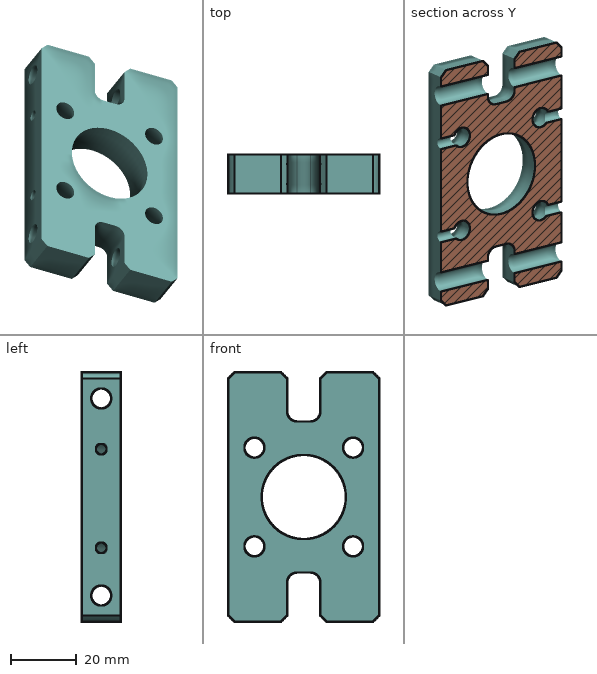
import cadquery as cq

width = 46.0
thickness = 12.0
height = 76.0
corner_chamfer = 2.0

slot_width = 10.0
slot_depth = 15.0
slot_fillet = 3.0

bore_diameter = 25.5
face_hole_diameter = 6.0
face_hole_pitch = 30.0

side_hole_diameter = 6.0
side_hole_pitch = 60.0
tap_hole_diameter = 3.3
tap_hole_drop = 0.45


def plate_blank():
    """Slotted plate with every outer corner and slot mouth chamfered."""
    plate = cq.Workplane("XY").box(width, thickness, height)
    slot_centers = [(0, height / 2), (0, -height / 2)]
    slots = (
        cq.Workplane("XZ")
        .pushPoints(slot_centers)
        .rect(slot_width, 2 * slot_depth)
        .extrude(thickness, both=True)
        .edges("|Y")
        .fillet(slot_fillet)
    )
    plate = plate.cut(slots)
    return plate.faces(">Z or <Z").edges("|Y").chamfer(corner_chamfer)


def face_holes():
    """Central bore and the square pattern of holes around it."""
    back = (0, thickness / 2, 0)
    bore = cq.Workplane("XZ", origin=back).circle(bore_diameter / 2).extrude(thickness)
    pattern = (
        cq.Workplane("XZ", origin=back)
        .rect(face_hole_pitch, face_hole_pitch, forConstruction=True)
        .vertices()
        .circle(face_hole_diameter / 2)
        .extrude(thickness)
    )
    return bore.union(pattern)


def side_holes():
    """Holes running across the full width, through both slots."""
    return (
        cq.Workplane("YZ", origin=(-width / 2, 0, 0))
        .pushPoints([(0, side_hole_pitch / 2), (0, -side_hole_pitch / 2)])
        .circle(side_hole_diameter / 2)
        .extrude(width)
    )


def tap_holes(side):
    """Small holes from one long side (-1 or 1) into the nearby face holes."""
    tap_depth = (width - face_hole_pitch) / 2
    return (
        cq.Workplane("YZ", origin=(side * width / 2, 0, -tap_hole_drop))
        .pushPoints([(0, face_hole_pitch / 2), (0, -face_hole_pitch / 2)])
        .circle(tap_hole_diameter / 2)
        .extrude(-side * tap_depth)
    )


result = plate_blank().cut(face_holes()).cut(side_holes())
for side in (-1, 1):
    result = result.cut(tap_holes(side))